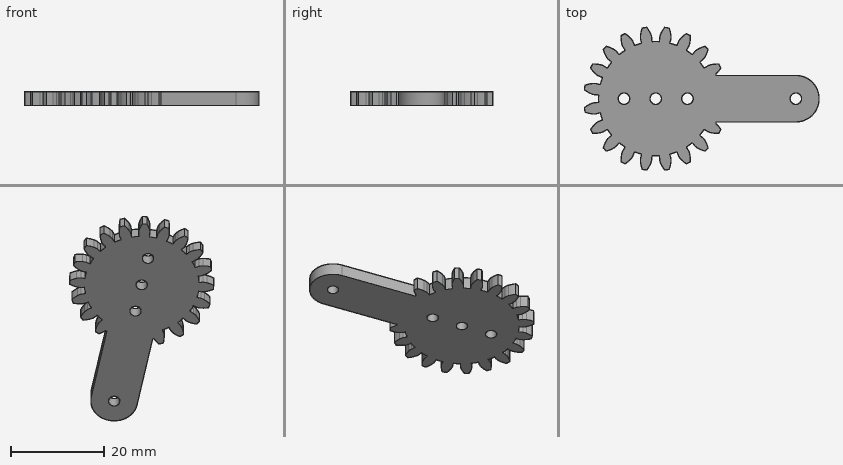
import cadquery as cq
import math

overall_length = 50.3
thickness = 3.0

tooth_count = 20
tip_diameter = 30.8
pressure_angle = math.radians(20)
dedendum_factor = 1.25

module = tip_diameter / (tooth_count + 2)
tip_radius = tip_diameter / 2
pitch_radius = module * tooth_count / 2
base_radius = pitch_radius * math.cos(pressure_angle)
root_radius = pitch_radius - dedendum_factor * module
tooth_pitch = 2 * math.pi / tooth_count

arm_width = 10.0
arm_end_radius = arm_width / 2

hole_diameter = 2.4
gear_hole_spacing = 6.8


def involute(angle):
    """Polar angle swept by an involute where its pressure angle is `angle`."""
    return math.tan(angle) - angle


def tooth_half_angle(radius):
    """Half the angle one tooth spans at a radius; constant below the base circle."""
    local_angle = math.acos(min(1.0, base_radius / radius))
    return tooth_pitch / 4 + involute(pressure_angle) - involute(local_angle)


def polar(radius, angle):
    return (radius * math.cos(angle), radius * math.sin(angle))


def flank_point(radius, centre_angle, side):
    """Point on a tooth flank; side is -1 or +1 about the tooth centre."""
    return polar(radius, centre_angle + side * tooth_half_angle(radius))


def draw_tooth(outline, centre_angle):
    """Add one tooth and the root land after it, starting from the foot of its first flank."""
    lower_radius = (base_radius + pitch_radius) / 2
    upper_radius = (pitch_radius + tip_radius) / 2
    next_centre_angle = centre_angle + tooth_pitch

    def first(radius):
        return flank_point(radius, centre_angle, -1)

    def second(radius):
        return flank_point(radius, centre_angle, 1)

    return (
        outline.lineTo(*first(base_radius))
        .threePointArc(first(lower_radius), first(pitch_radius))
        .threePointArc(first(upper_radius), first(tip_radius))
        .threePointArc(polar(tip_radius, centre_angle), second(tip_radius))
        .threePointArc(second(upper_radius), second(pitch_radius))
        .threePointArc(second(lower_radius), second(base_radius))
        .lineTo(*second(root_radius))
        .threePointArc(
            polar(root_radius, centre_angle + tooth_pitch / 2),
            flank_point(root_radius, next_centre_angle, -1),
        )
    )


def make_gear():
    """Involute gear with tooth spaces centred on the X and Y axes."""
    first_centre_angle = tooth_pitch / 2
    outline = cq.Workplane("XY").moveTo(*flank_point(root_radius, first_centre_angle, -1))
    for tooth in range(tooth_count):
        outline = draw_tooth(outline, first_centre_angle + tooth * tooth_pitch)
    return outline.close().extrude(thickness)


gear_reach = tip_radius * math.cos(tooth_pitch / 2 - tooth_half_angle(tip_radius))
arm_hole_x = overall_length - gear_reach - arm_end_radius


def make_arm():
    """Flat arm from the gear centre to its rounded end."""
    return (
        cq.Workplane("XY")
        .moveTo(0, -arm_end_radius)
        .lineTo(arm_hole_x, -arm_end_radius)
        .threePointArc((arm_hole_x + arm_end_radius, 0), (arm_hole_x, arm_end_radius))
        .lineTo(0, arm_end_radius)
        .close()
        .extrude(thickness)
    )


arm_side_tooth_angle = 1.5 * tooth_pitch
collar_x, collar_half_width = flank_point(pitch_radius, arm_side_tooth_angle, -1)


def make_collar():
    """Block that closes the tooth spaces where the arm meets the gear."""
    return cq.Workplane("XY").box(
        collar_x, 2 * collar_half_width, thickness, centered=(False, True, False)
    )


def make_holes():
    """Three holes across the gear and one at the arm end, all on the X axis."""
    hole_positions = [(x, 0) for x in (-gear_hole_spacing, 0, gear_hole_spacing, arm_hole_x)]
    return cq.Workplane("XY").pushPoints(hole_positions).circle(hole_diameter / 2).extrude(thickness)


result = make_gear().union(make_collar()).union(make_arm()).cut(make_holes())